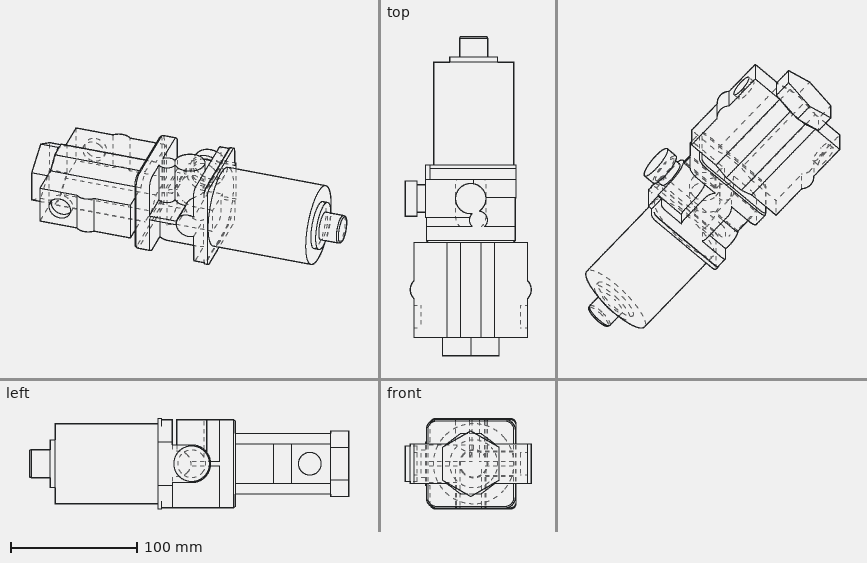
import cadquery as cq
import math


cap_length = 14.5
block_back = 90.0
lip_length = 1.5
front_flange_back = 102.5
rear_plate_front = 139.8
rear_plate_length = 11.5
rim_length = 3.0
barrel_length = 81.5
collar_length = 4.0
overall_length = 253.0

cap_across_flats = 45.0
cap_across_corners = cap_across_flats / math.cos(math.pi / 6)
cap_turn = 30.0

block_half_width = 45.0
block_half_height = 15.7
ridge_base_half_width = 19.0
ridge_top_half_width = 8.0
ridge_half_height = 24.0
bump_radius = 10.0
bump_reach = 48.0
bump_y = 52.5
port_diameter = 18.0
port_y = 31.0
port_depth = 5.5

front_flange_width = 70.5
front_flange_height = 70.0
front_corner_radius = 8.0
lip_chamfer = 1.2

rear_left = -32.4
rear_right = 36.0
rear_plate_height = 70.0
rim_height = 72.0
rear_corner_radius = 5.0
rear_block_left = -36.0
rear_block_half_height = 17.2

barrel_x = 2.3
barrel_diameter = 63.7
collar_diameter = 38.0
stud_diameter = 22.4
stud_chamfer_length = 1.5
stud_chamfer_depth = 0.6

chamber_y = 124.6
chamber_radius = 15.0
side_boss_y = 135.4
side_boss_radius = 10.2
web_thickness = 3.5
main_post_diameter = 24.0
small_post_diameter = 14.2
small_post_x = 6.1
small_post_y = 107.6
post_top = front_flange_height / 2
lower_post_flat_length = 24.6

plug_end = -51.96
plug_head_length = 9.4
plug_head_diameter = 28.2
plug_neck_diameter = 22.0


def box(x0, x1, y0, y1, z0, z1):
    """Box between opposite corners."""
    return cq.Workplane("XY", origin=(x0, y0, z0)).box(x1 - x0, y1 - y0, z1 - z0, centered=False)


def y_plane(y, x=0):
    """Sketch plane facing -Y, with local X and Y along X and Z; extrusion runs toward -Y."""
    return cq.Workplane(cq.Plane(origin=(x, y, 0), xDir=(1, 0, 0), normal=(0, -1, 0)))


def y_cylinder(x, diameter, y0, y1):
    return y_plane(y1, x).circle(diameter / 2).extrude(y1 - y0)


def x_cylinder(y, diameter, x0, x1):
    return cq.Workplane("YZ", origin=(x0, y, 0)).circle(diameter / 2).extrude(x1 - x0)


def z_cylinder(x, y, diameter, z0, z1):
    return cq.Workplane("XY", origin=(x, y, z0)).circle(diameter / 2).extrude(z1 - z0)


def make_cap():
    cap = y_plane(cap_length).polygon(6, cap_across_corners).extrude(cap_length)
    return cap.rotate((0, 0, 0), (0, 1, 0), cap_turn)


def make_port_block():
    length = block_back - cap_length
    slab = box(-block_half_width, block_half_width, cap_length, block_back,
               -block_half_height, block_half_height)
    ridge_outline = [
        (-ridge_base_half_width, block_half_height),
        (-ridge_top_half_width, ridge_half_height),
        (ridge_top_half_width, ridge_half_height),
        (ridge_base_half_width, block_half_height),
        (ridge_base_half_width, -block_half_height),
        (ridge_top_half_width, -ridge_half_height),
        (-ridge_top_half_width, -ridge_half_height),
        (-ridge_base_half_width, -block_half_height),
    ]
    block = slab.union(y_plane(block_back).polyline(ridge_outline).close().extrude(length))
    for side in (-1, 1):
        bump_x = side * (bump_reach - bump_radius)
        block = block.union(
            z_cylinder(bump_x, bump_y, 2 * bump_radius, -block_half_height, block_half_height))
        port_ends = sorted((side * block_half_width, side * (block_half_width - port_depth)))
        block = block.cut(x_cylinder(port_y, port_diameter, *port_ends))
    return block


def make_front_flange():
    flange = (
        y_plane(front_flange_back)
        .rect(front_flange_width, front_flange_height)
        .extrude(front_flange_back - block_back)
        .edges("|Y")
        .fillet(front_corner_radius)
    )
    return flange.faces("<Y").chamfer(lip_length, lip_chamfer)


def make_rear_plate():
    back = rear_plate_front + rear_plate_length
    plate = box(rear_block_left, rear_right, rear_plate_front, back,
                -rear_block_half_height, rear_block_half_height)
    layers = [
        (rear_plate_front, back - rim_length, rear_plate_height),
        (back - rim_length, back, rim_height),
    ]
    for front, rear, height in layers:
        layer = box(rear_left, rear_right, front, rear, -height / 2, height / 2)
        plate = plate.union(layer.edges("|Y").fillet(rear_corner_radius))
    return plate


def make_barrel():
    start = rear_plate_front + rear_plate_length
    collar_start = start + barrel_length
    stud_start = collar_start + collar_length
    stud = y_cylinder(barrel_x, stud_diameter, stud_start, overall_length)
    stud = stud.faces(">Y").chamfer(stud_chamfer_length, stud_chamfer_depth)
    return (
        y_cylinder(barrel_x, barrel_diameter, start, collar_start)
        .union(y_cylinder(barrel_x, collar_diameter, collar_start, stud_start))
        .union(stud)
    )


def make_valve_body():
    body = x_cylinder(chamber_y, 2 * chamber_radius, rear_block_left, barrel_x)
    body = body.union(box(rear_block_left, barrel_x, chamber_y, rear_plate_front,
                          -chamber_radius, chamber_radius))
    body = body.union(x_cylinder(side_boss_y, 2 * side_boss_radius, barrel_x, rear_right))
    half_width = front_flange_width / 2
    body = body.union(box(-half_width, half_width, front_flange_back, rear_plate_front,
                          -web_thickness / 2, web_thickness / 2))
    body = body.union(z_cylinder(0, chamber_y, main_post_diameter, 0, post_top))
    body = body.union(z_cylinder(small_post_x, small_post_y, small_post_diameter, 0, post_top))
    lower_post_length = lower_post_flat_length + main_post_diameter
    lower_post_y = side_boss_y - lower_post_flat_length / 2
    lower_post = (
        cq.Workplane("XY", origin=(0, lower_post_y, -post_top))
        .slot2D(lower_post_length, main_post_diameter, 90)
        .extrude(post_top)
    )
    return body.union(lower_post)


def make_plug():
    head_end = plug_end + plug_head_length
    head = x_cylinder(chamber_y, plug_head_diameter, plug_end, head_end)
    return head.union(x_cylinder(chamber_y, plug_neck_diameter, head_end, rear_block_left))


result = (
    make_cap()
    .union(make_port_block())
    .union(make_front_flange())
    .union(make_valve_body())
    .union(make_plug())
    .union(make_rear_plate())
    .union(make_barrel())
)